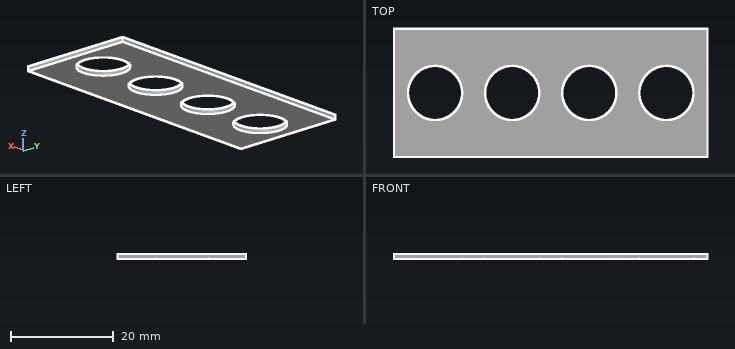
import cadquery as cq

plate_length = 61.0
plate_width = 25.0
plate_thickness = 1.0

hole_diameter = 10.5
hole_count = 4
hole_pitch = 15.0


def make_plate():
    """Flat rectangular plate centred on X and Y, resting on Z = 0."""
    return cq.Workplane("XY").box(
        plate_length, plate_width, plate_thickness, centered=(True, True, False)
    )


def cut_hole_row(plate):
    """Cut the evenly spaced holes along the long centreline."""
    return (
        plate.faces(">Z")
        .workplane()
        .rarray(hole_pitch, plate_width, hole_count, 1)
        .hole(hole_diameter)
    )


result = cut_hole_row(make_plate())